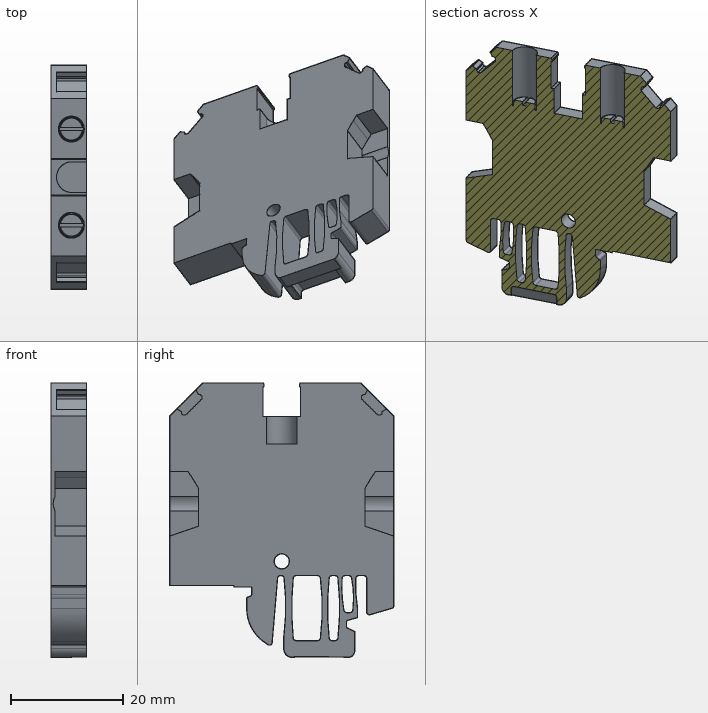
import cadquery as cq
import math

THICKNESS = 6.4
WIDTH = 40.0
HEIGHT = 49.0
HALF_WIDTH = WIDTH / 2

CORNER_CHAMFER = 5.95
NOTCH_HALF_WIDTH = 3.35
NOTCH_FLOOR = 43.0
LIP_REACH = 0.2
LIP_LOW = 48.2
LIP_BULGE_LOW = 48.35
LIP_BULGE_HIGH = 48.7

BODY_BOTTOM = 12.85
LEDGE_BOTTOM = 12.55
LEDGE_STEP_Y = -8.6
LEDGE_FLAT_Y = -8.5
ARM_OUTER_BOTTOM = 8.85
ARM_INNER_BOTTOM = 7.45
ARM_SLOT_Y = 15.15

SLOT_TOP = 14.6
FINGER_Y = 13.25
FINGER_BEND_Z = 11.45
FINGER_TIP_Y = 13.5
FINGER_TIP_TOP = 8.85
FINGER_TIP_BOTTOM = 7.1
GROOVE_Y = 11.55
GROOVE_TOP = 6.55
GROOVE_BOTTOM = 5.35
HEEL_Y = 13.05
HEEL_TOP = 4.65
HEEL_ROUND = 1.25
TOE_ROUND = 1.6
LEG_Y = 0.35
LEG_BOW_Y = 0.7
LEG_BOW_BOTTOM = 3.68

SLOT_ROUND = 0.5
GROOVE_ROUND = 0.25
LEG_SLOT_ROUND = 0.5
TIP_ROUND = 0.5
HOOK_ROUND = 0.2

RELIEF_X = 3.7
RELIEF_HEEL_RISE = 0.075
RELIEF_TOE_RISE = 0.15

WINDOW_FLOOR = 3.05
SMALL_WINDOW_FLOOR = 8.05
WINDOW_MIDDLE = (SLOT_TOP + WINDOW_FLOOR) / 2
WINDOW_ROUND = 0.5

CLAW_RADIUS = 7.35
CLAW_OUTER_Y = -6.25
CLAW_ARC_TOP = 8.75
CLAW_ARC_ANGLE = 53.0
CLAW_HOOK_Z = 10.7
CLAW_NECK_Y = -5.4
CLAW_NECK_Z = 11.05
CLAW_ROOT_Y = -0.7
CLAW_TIP_Y = -1.75
CLAW_TIP_Z = 1.8

RECESS_DEPTH = 3.7
RECESS_LOW_Y = 2.3
RECESS_HIGH_Y = 11.1
RECESS_TOP = 1.85
RECESS_ROUND = 0.5

PIN_RADIUS = 1.3
PIN_Z = 17.15

SCREW_X = 3.68
SCREW_Y = 8.58
WELL_RADIUS = 2.3
WELL_DEPTH = 9.8
HEAD_RADIUS = 2.15
HEAD_HEIGHT = 1.22
HEAD_CHAMFER = 0.2
DRIVER_SLOT_WIDTH = 0.6
DRIVER_SLOT_DEPTH = 0.75

MARKER_WALL = 1.05
MARKER_RADIUS = 2.75
MARKER_DEPTH = 4.9

FUNNEL_WALL = 0.8
FUNNEL_DEPTH = 5.15
FUNNEL_BOTTOM = 21.65
FUNNEL_BACK_BOTTOM = 23.4
FUNNEL_BACK_TOP = 30.2
FUNNEL_BREAK_Z = 32.15
FUNNEL_BREAK_DEPTH = 3.95
FUNNEL_CEILING_DEPTH = 3.3
FUNNEL_TOP = 33.15
WIRE_RADIUS = 2.7
WIRE_X = 3.15
WIRE_Z = 27.45

LABEL_WALL = 1.05


def extrude_profile(profile, start_x, end_x):
    """Extrude a closed YZ profile from start_x to end_x."""
    return profile.extrude(end_x - start_x).translate((start_x, 0, 0))


def round_corners(solid, corners):
    """Fillet the X-direction edge nearest to each (y, z, radius)."""
    middle = solid.val().BoundingBox().center.x
    for y, z, radius in corners:
        nearest = cq.selectors.NearestToPointSelector((middle, y, z))
        solid = solid.edges("|X").edges(nearest).fillet(radius)
    return solid


def plate():
    """Full plate: body, arm, foot and claw as one outline."""
    shoulder_y = HALF_WIDTH - CORNER_CHAMFER
    shoulder_z = HEIGHT - CORNER_CHAMFER
    lip_y = NOTCH_HALF_WIDTH - LIP_REACH
    claw_center_y = CLAW_OUTER_Y + CLAW_RADIUS

    def claw_point(degrees):
        angle = math.radians(degrees)
        return (claw_center_y - CLAW_RADIUS * math.cos(angle),
                CLAW_ARC_TOP - CLAW_RADIUS * math.sin(angle))

    profile = (
        cq.Workplane("YZ")
        .moveTo(-HALF_WIDTH, BODY_BOTTOM)
        .lineTo(-HALF_WIDTH, shoulder_z)
        .lineTo(-shoulder_y, HEIGHT)
        .lineTo(-NOTCH_HALF_WIDTH, HEIGHT)
        .lineTo(-lip_y, LIP_BULGE_HIGH)
        .lineTo(-lip_y, LIP_BULGE_LOW)
        .lineTo(-NOTCH_HALF_WIDTH, LIP_LOW)
        .lineTo(-NOTCH_HALF_WIDTH, NOTCH_FLOOR)
        .lineTo(NOTCH_HALF_WIDTH, NOTCH_FLOOR)
        .lineTo(NOTCH_HALF_WIDTH, LIP_LOW)
        .lineTo(lip_y, LIP_BULGE_LOW)
        .lineTo(lip_y, LIP_BULGE_HIGH)
        .lineTo(NOTCH_HALF_WIDTH, HEIGHT)
        .lineTo(shoulder_y, HEIGHT)
        .lineTo(HALF_WIDTH, shoulder_z)
        .lineTo(HALF_WIDTH, ARM_OUTER_BOTTOM)
        .lineTo(ARM_SLOT_Y, ARM_INNER_BOTTOM)
        .lineTo(ARM_SLOT_Y, SLOT_TOP)
        .lineTo(FINGER_Y, SLOT_TOP)
        .lineTo(FINGER_Y, FINGER_BEND_Z)
        .lineTo(FINGER_TIP_Y, FINGER_TIP_TOP)
        .lineTo(FINGER_TIP_Y, FINGER_TIP_BOTTOM)
        .lineTo(GROOVE_Y, GROOVE_TOP)
        .lineTo(GROOVE_Y, GROOVE_BOTTOM)
        .lineTo(HEEL_Y, HEEL_TOP)
        .lineTo(HEEL_Y, 0)
        .lineTo(LEG_Y, 0)
        .lineTo(LEG_Y, LEG_BOW_BOTTOM)
        .threePointArc((LEG_BOW_Y, WINDOW_MIDDLE), (LEG_Y, SLOT_TOP))
        .lineTo(CLAW_ROOT_Y, SLOT_TOP)
        .lineTo(CLAW_TIP_Y, CLAW_TIP_Z)
        .lineTo(*claw_point(CLAW_ARC_ANGLE))
        .threePointArc(claw_point(CLAW_ARC_ANGLE / 2), claw_point(0))
        .lineTo(CLAW_OUTER_Y, CLAW_HOOK_Z)
        .lineTo(CLAW_NECK_Y, CLAW_NECK_Z)
        .lineTo(CLAW_NECK_Y, LEDGE_BOTTOM)
        .lineTo(LEDGE_FLAT_Y, LEDGE_BOTTOM)
        .lineTo(LEDGE_STEP_Y, BODY_BOTTOM)
        .close()
    )
    corners = [
        (HALF_WIDTH, ARM_OUTER_BOTTOM, TIP_ROUND),
        (ARM_SLOT_Y, ARM_INNER_BOTTOM, TIP_ROUND),
        (ARM_SLOT_Y, SLOT_TOP, SLOT_ROUND),
        (FINGER_Y, SLOT_TOP, SLOT_ROUND),
        (FINGER_TIP_Y, FINGER_TIP_BOTTOM, GROOVE_ROUND),
        (GROOVE_Y, GROOVE_TOP, GROOVE_ROUND),
        (GROOVE_Y, GROOVE_BOTTOM, GROOVE_ROUND),
        (HEEL_Y, 0, HEEL_ROUND),
        (LEG_Y, 0, TOE_ROUND),
        (LEG_Y, SLOT_TOP, LEG_SLOT_ROUND),
        (CLAW_ROOT_Y, SLOT_TOP, LEG_SLOT_ROUND),
        (CLAW_TIP_Y, CLAW_TIP_Z, TIP_ROUND),
        (CLAW_OUTER_Y, CLAW_HOOK_Z, HOOK_ROUND),
        (CLAW_NECK_Y, CLAW_NECK_Z, HOOK_ROUND),
    ]
    return round_corners(extrude_profile(profile, 0, THICKNESS), corners)


def foot_relief():
    """Wedge that trims the underside of the foot beyond RELIEF_X, deeper towards the leg."""
    profile = cq.Workplane("YZ").polyline([
        (HEEL_Y, 0),
        (HEEL_Y, RELIEF_HEEL_RISE),
        (LEG_Y, RELIEF_TOE_RISE),
        (LEG_Y, 0),
    ]).close()
    return extrude_profile(profile, RELIEF_X, THICKNESS)


def foot_window(left, right, floor):
    """Window with bowed sides; left and right each give (y at top, (y, z) of bow, y at floor)."""
    left_top, left_bow, left_floor = left
    right_top, right_bow, right_floor = right
    profile = (
        cq.Workplane("YZ")
        .moveTo(left_top, SLOT_TOP)
        .threePointArc(left_bow, (left_floor, floor))
        .lineTo(right_floor, floor)
        .threePointArc(right_bow, (right_top, SLOT_TOP))
        .close()
    )
    return extrude_profile(profile, 0, THICKNESS).edges("|X").fillet(WINDOW_ROUND)


def foot_recess():
    middle_y = (RECESS_LOW_Y + RECESS_HIGH_Y) / 2
    recess = (
        cq.Workplane("XY")
        .box(RECESS_DEPTH, RECESS_HIGH_Y - RECESS_LOW_Y, RECESS_TOP, centered=(False, True, False))
        .translate((0, middle_y, 0))
    )
    return recess.edges("|X and >Z").fillet(RECESS_ROUND)


def screw_well(y):
    """Well in a tower that leaves a chamfered, slotted screw head standing on its floor."""
    base = cq.Workplane("XY", origin=(SCREW_X, y, HEIGHT - WELL_DEPTH - HEAD_HEIGHT))
    head = base.circle(HEAD_RADIUS).extrude(HEAD_HEIGHT).faces(">Z").chamfer(HEAD_CHAMFER)
    driver_slot = (
        base.workplane(offset=HEAD_HEIGHT - DRIVER_SLOT_DEPTH)
        .rect(2 * HEAD_RADIUS, DRIVER_SLOT_WIDTH)
        .extrude(DRIVER_SLOT_DEPTH)
    )
    well = base.circle(WELL_RADIUS).extrude(WELL_DEPTH + HEAD_HEIGHT)
    return well.cut(head.cut(driver_slot))


def marker_pocket():
    round_x = MARKER_WALL + MARKER_RADIUS
    return (
        cq.Workplane("XY", origin=(0, 0, NOTCH_FLOOR - MARKER_DEPTH))
        .moveTo(THICKNESS, -MARKER_RADIUS)
        .lineTo(round_x, -MARKER_RADIUS)
        .threePointArc((MARKER_WALL, 0), (round_x, MARKER_RADIUS))
        .lineTo(THICKNESS, MARKER_RADIUS)
        .close()
        .extrude(MARKER_DEPTH)
    )


def wire_funnel():
    """Funnel in the +Y end face, widened by a round wire channel of the same depth."""
    back_y = HALF_WIDTH - FUNNEL_DEPTH
    profile = (
        cq.Workplane("YZ")
        .moveTo(HALF_WIDTH, FUNNEL_BOTTOM)
        .lineTo(HALF_WIDTH, FUNNEL_TOP)
        .lineTo(HALF_WIDTH - FUNNEL_CEILING_DEPTH, FUNNEL_TOP)
        .lineTo(HALF_WIDTH - FUNNEL_BREAK_DEPTH, FUNNEL_BREAK_Z)
        .lineTo(back_y, FUNNEL_BACK_TOP)
        .lineTo(back_y, FUNNEL_BACK_BOTTOM)
        .close()
    )
    channel = (
        cq.Workplane("XZ", origin=(WIRE_X, HALF_WIDTH, WIRE_Z))
        .circle(WIRE_RADIUS)
        .extrude(FUNNEL_DEPTH)
    )
    return extrude_profile(profile, FUNNEL_WALL, THICKNESS).union(channel)


def label_pocket():
    """Pocket in the +Y chamfer; its two stepped end walls mirror each other."""
    middle_y = HALF_WIDTH - CORNER_CHAMFER / 2
    middle_z = HEIGHT - CORNER_CHAMFER / 2
    upper_wall = [(-1.75, 1.75), (-1.75, 1.6), (-2.15, 0.9), (-2.5, 0.9), (-2.8, 0.6), (-2.8, 0.1)]
    lower_wall = [(z, y) for y, z in reversed(upper_wall)]
    points = [(middle_y + y, middle_z + z) for y, z in upper_wall + lower_wall]
    profile = cq.Workplane("YZ").polyline(points).close()
    return extrude_profile(profile, LABEL_WALL, THICKNESS)


def both_ends(cutter):
    return cutter.union(cutter.mirror("XZ"))


body = plate()

small_window = foot_window((12.35, (12.8, 11.02), 12.6), (10.85, (10.75, 12.75), 11.15), SMALL_WINDOW_FLOOR)
narrow_window = foot_window(
    (9.95, (10.3, WINDOW_MIDDLE), 9.95), (8.55, (8.2, WINDOW_MIDDLE), 8.55), WINDOW_FLOOR
)
wide_window = foot_window(
    (6.8, (7.2, WINDOW_MIDDLE), 6.8), (2.1, (1.8, WINDOW_MIDDLE), 2.1), WINDOW_FLOOR
)
for window in (small_window, narrow_window, wide_window):
    body = body.cut(window)
body = body.cut(foot_relief())
body = body.cut(foot_recess())

pin_hole = cq.Workplane("YZ").center(0, PIN_Z).circle(PIN_RADIUS).extrude(THICKNESS)
body = body.cut(pin_hole)

for side in (-1, 1):
    body = body.cut(screw_well(side * SCREW_Y))
body = body.cut(marker_pocket())
body = body.cut(both_ends(wire_funnel()))
body = body.cut(both_ends(label_pocket()))

result = body